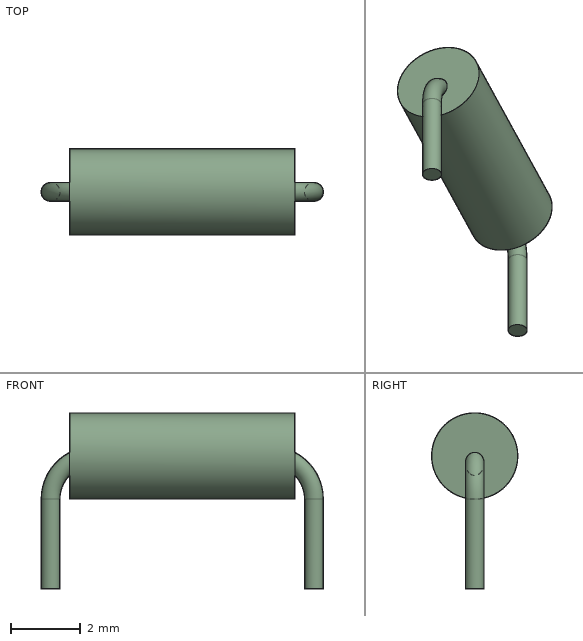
import cadquery as cq

overall_length = 8.17
overall_height = 5.1
body_diameter = 2.5
body_length = 6.51
wire_diameter = 0.55

body_radius = body_diameter / 2
wire_radius = wire_diameter / 2
axis_height = overall_height - body_radius
leg_x = overall_length / 2 - wire_radius
bend_radius = body_radius
leg_length = axis_height - bend_radius


def make_body():
    """Horizontal cylinder along X, centred over the origin."""
    return (
        cq.Workplane("YZ", origin=(-body_length / 2, 0, axis_height))
        .circle(body_radius)
        .extrude(body_length)
    )


def make_lead():
    """Round wire at +X: a straight leg and a quarter bend into the body axis."""
    leg = cq.Workplane("XY").center(leg_x, 0).circle(wire_radius).extrude(leg_length)
    bend_end_x = leg_x - bend_radius
    bend_path = cq.Workplane("XZ").moveTo(leg_x, leg_length).radiusArc(
        (bend_end_x, axis_height), -bend_radius
    )
    bend = (
        cq.Workplane("XY", origin=(leg_x, 0, leg_length))
        .circle(wire_radius)
        .sweep(bend_path)
    )
    return leg.union(bend)


lead = make_lead()
result = make_body().union(lead).union(lead.mirror("YZ"))